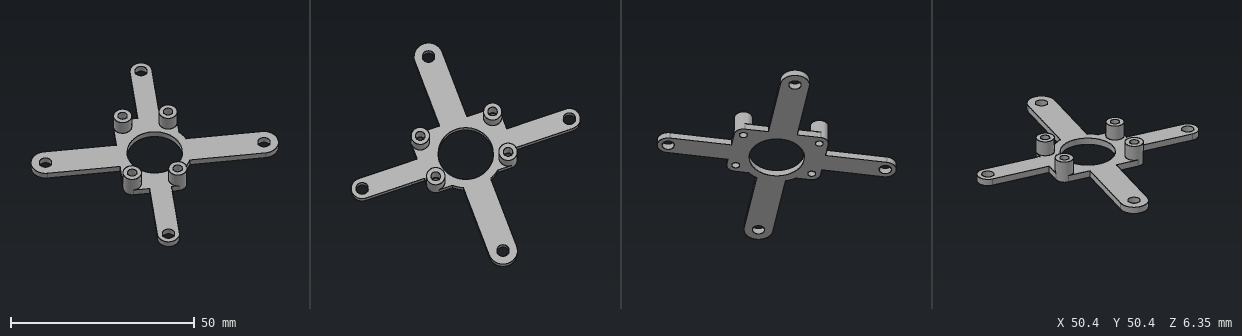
import cadquery as cq
import math

plate_thickness = 2.0
total_height = 6.35

arm_hole_offset = 21.2
arm_reach = arm_hole_offset * math.sqrt(2)
wide_arm_radius = 25.2 - arm_hole_offset
narrow_arm_radius = 3.0
arm_hole_radius = 1.65

hub_radius = 10.0
bore_radius = 7.5

boss_radius = 2.5
boss_bore_radius = 1.25
boss_pilot_radius = 1.05
boss_pitch_along = 12.5
boss_pitch_across = 20.95
boss_shift = -1.25
arm_angle = 45

boss_centers = [
    (boss_shift + side_u * boss_pitch_along / 2, side_v * boss_pitch_across / 2)
    for side_u in (-1, 1)
    for side_v in (-1, 1)
]
arm_hole_centers = [(arm_reach, 0), (-arm_reach, 0), (0, arm_reach), (0, -arm_reach)]


def arm_pair(radius, angle):
    """Two opposite arms with round ends, as one long bar through the hub."""
    length = 2 * (arm_reach + radius)
    return cq.Workplane("XY").slot2D(length, 2 * radius, angle).extrude(plate_thickness)


def boss_frame():
    """Cross of two rectangles, tangent to the bosses that round off its corners."""
    start = cq.Workplane("XY").center(boss_shift, 0)
    long_way = start.rect(boss_pitch_along, boss_pitch_across + 2 * boss_radius).extrude(plate_thickness)
    short_way = start.rect(boss_pitch_along + 2 * boss_radius, boss_pitch_across).extrude(plate_thickness)
    return long_way.union(short_way)


def cylinders(centers, radius, top, bottom=0):
    """Upright cylinders between two heights."""
    base = cq.Workplane("XY").workplane(offset=bottom)
    return base.pushPoints(centers).circle(radius).extrude(top - bottom)


body = (
    boss_frame()
    .union(cylinders([(0, 0)], hub_radius, plate_thickness))
    .union(arm_pair(wide_arm_radius, 0))
    .union(arm_pair(narrow_arm_radius, 90))
    .union(cylinders(boss_centers, boss_radius, total_height))
    .cut(cylinders([(0, 0)], bore_radius, plate_thickness))
    .cut(cylinders(arm_hole_centers, arm_hole_radius, plate_thickness))
    .cut(cylinders(boss_centers, boss_pilot_radius, plate_thickness))
    .cut(cylinders(boss_centers, boss_bore_radius, total_height, plate_thickness))
)
result = body.rotate((0, 0, 0), (0, 0, 1), arm_angle)